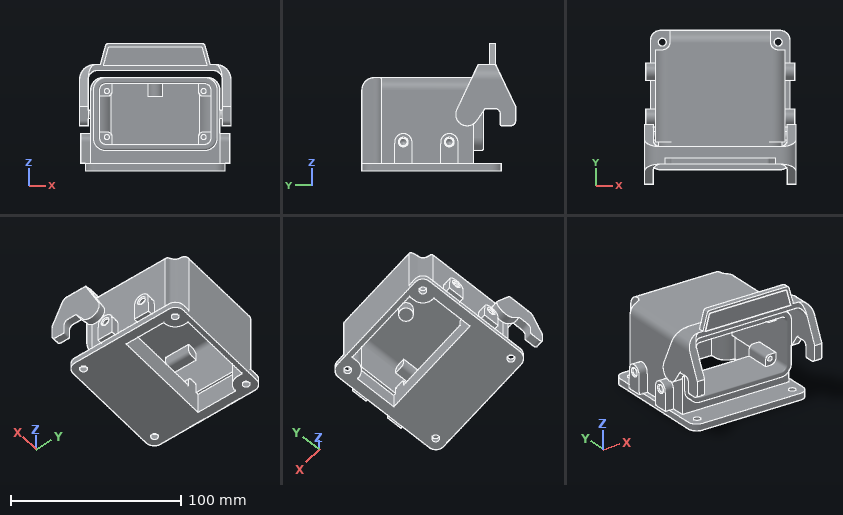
import cadquery as cq
import math


flange_size = 82.0
flange_height = 4.5
flange_corner_radius = 6.0
screw_offset = 34.0
screw_hole_diameter = 4.5

wall = 3.6
body_half_width = 38.0
body_back = flange_size / 2
body_front = -24.6
body_top = 55.0
body_edge_radius = 7.5
notch_radius = 4.5
notch_edge = screw_offset - notch_radius
floor_back = -2.0

rim_front = -30.5
rim_half_width = 36.3
rim_bottom = 12.1
rim_corner_radius = 7.3
rim_rounding = 1.1
lip_width = 2.8
mouth_rounding = 0.85
mouth_inset = lip_width + mouth_rounding
mouth_half_width = rim_half_width - mouth_inset
mouth_bottom = rim_bottom + mouth_inset
mouth_top = body_top - mouth_inset
mouth_corner_radius = rim_corner_radius - mouth_inset

post_half_pitch_x = 28.4
post_low_z = 20.0
post_high_z = 47.0
post_reach = 3.0
post_rounding = 2.7
post_front = -19.0
post_hole_diameter = 3.0
post_hole_depth = 10.0
boss_diameter = 8.6
boss_bottom = 43.9
boss_y = 18.0

lug_half_span = 43.85
lug_radius = 5.0
lug_foot_half_width = 5.25
lug_centre_z = 17.1
lug_positions_y = (16.6, -10.4)
lug_hole_diameter = 4.4
lug_hole_chamfer = 0.65
lug_hole_depth = 3.0
lug_hole_tip = lug_hole_diameter / 4

lever_half_width = 44.5
lever_inner_half_width = 39.3
lever_top = 62.6
lever_bar_bottom = 59.0
lever_outer_radius = 9.0
lever_inner_radius = 5.2
bar_relief_radius = 4.0
bar_back = -27.3
bar_front = -37.6
pivot_y = -20.9
pivot_z = 33.3
pivot_radius = 6.7
pivot_pin_diameter = 5.0
hook_front = -49.41
hook_shoulder_z = 37.9
hook_bottom = 26.6
hook_back = -40.2
notch_top = 36.6
notch_back = -31.4
hook_front_radius = 3.0
hook_back_radius = 1.0
hook_notch_radius = 2.8

grip_top = 75.0
grip_thickness = 3.7
grip_foot_half_width = 32.3
grip_top_half_width = 28.9
grip_corner_radius = 2.0
panel_margin = 2.1
panel_bottom = 61.9
panel_foot_half_width = 30.5
panel_depth = 0.4
panel_corner_radius = 1.0


def block(x0, x1, y0, y1, z0, z1):
    return cq.Workplane("XY").box(x1 - x0, y1 - y0, z1 - z0, centered=False).translate((x0, y0, z0))


def rounded_prism(half_width, z0, z1, radius, y0, y1):
    """Prism along Y with all four long edges rounded."""
    return block(-half_width, half_width, y0, y1, z0, z1).edges("|Y").fillet(radius)


def both_sides(shape):
    return shape.union(shape.mirror("YZ"))


def make_flange():
    half = flange_size / 2
    plate = block(-half, half, -half, half, 0, flange_height)
    return plate.edges("|Z").fillet(flange_corner_radius)


def screw_holes():
    pitch = 2 * screw_offset
    return (
        cq.Workplane("XY")
        .rect(pitch, pitch, forConstruction=True)
        .vertices()
        .circle(screw_hole_diameter / 2)
        .extrude(flange_height)
    )


def back_notches(inset, z0):
    """Vertical corner notches over the back flange screws, grown inward by inset."""
    edge = notch_edge - inset
    notch = block(edge, body_half_width, edge, body_back, z0, body_top)
    return both_sides(notch.edges("|Z and <X and <Y").fillet(notch_radius + inset))


def make_body():
    """Solid body with rounded sides and back along the top."""
    body = block(-body_half_width, body_half_width, body_front, body_back, 0, body_top)
    body = body.edges("|Y and >Z").fillet(body_edge_radius)
    body = body.edges("|X and >Y and >Z").fillet(body_edge_radius)
    return body.cut(back_notches(0, flange_height))


def make_rim():
    rim = rounded_prism(rim_half_width, rim_bottom, body_top, rim_corner_radius, rim_front, body_front + wall)
    return rim.faces("<Y").edges().fillet(rim_rounding)


def mouth_prism(y0, y1):
    return rounded_prism(mouth_half_width, mouth_bottom, mouth_top, mouth_corner_radius, y0, y1)


def make_cavity():
    """Mouth section carried through to the back wall, with a wider opening down behind the front floor."""
    back = body_back - wall
    chamber = mouth_prism(rim_front, back)
    middle_z = (mouth_bottom + mouth_top) / 2
    corners = block(-mouth_half_width, mouth_half_width, floor_back, back, mouth_bottom, middle_z)
    half_width = body_half_width - wall
    opening = block(-half_width, half_width, floor_back, back, 0, mouth_bottom)
    return chamber.union(corners).union(opening).cut(back_notches(wall, 0))


def round_mouth(housing):
    """Round the inner edge of the rim."""
    margin = lip_width / 10
    inner_edges = cq.selectors.BoxSelector(
        (-mouth_half_width - margin, rim_front - margin, mouth_bottom - margin),
        (mouth_half_width + margin, rim_front + margin, mouth_top + margin),
    )
    return housing.edges(inner_edges).fillet(mouth_rounding)


def make_post(z_centre, z_wall):
    """Insert fixing post in the +X corner of the mouth, from its hole centre out to the walls."""
    inner_x = post_half_pitch_x - post_reach
    outer_x = body_half_width - wall
    toward_wall = math.copysign(1, z_wall - z_centre)
    free_z = z_centre - toward_wall * post_reach
    post = block(inner_x, outer_x, post_front, floor_back, min(free_z, z_wall), max(free_z, z_wall))
    free_side = "<Z" if toward_wall > 0 else ">Z"
    post = post.edges("|Y and <X").edges(free_side).fillet(post_rounding)
    hole = (
        cq.Workplane("XZ", origin=(post_half_pitch_x, post_front, z_centre))
        .circle(post_hole_diameter / 2)
        .extrude(-post_hole_depth)
    )
    return post.cut(hole)


def make_boss():
    height = body_top - wall / 2 - boss_bottom
    return cq.Workplane("XY", origin=(0, boss_y, boss_bottom)).circle(boss_diameter / 2).extrude(height)


def make_lug(y):
    root = body_half_width - wall / 2
    return (
        cq.Workplane("YZ", origin=(root, y, 0))
        .moveTo(-lug_foot_half_width, flange_height)
        .lineTo(lug_foot_half_width, flange_height)
        .lineTo(lug_radius, lug_centre_z)
        .threePointArc((0, lug_centre_z + lug_radius), (-lug_radius, lug_centre_z))
        .close()
        .extrude(lug_half_span - root)
    )


def make_lug_hole(y):
    """Countersunk blind hole with a drill-point bottom."""
    radius = lug_hole_diameter / 2
    return (
        cq.Workplane("XY", origin=(0, y, lug_centre_z))
        .moveTo(lug_half_span, 0)
        .lineTo(lug_half_span, radius + lug_hole_chamfer)
        .lineTo(lug_half_span - lug_hole_chamfer, radius)
        .lineTo(lug_half_span - lug_hole_depth, radius)
        .lineTo(lug_half_span - lug_hole_depth - lug_hole_tip, 0)
        .close()
        .revolve(360, (0, 0, 0), (1, 0, 0))
    )


def eye_point(angle):
    """Point on the rim of the lever's pivot eye, as (y, z)."""
    return (pivot_y + pivot_radius * math.cos(angle), pivot_z + pivot_radius * math.sin(angle))


def eye_tangent(y, z, side):
    """Point where a line from (y, z) touches the pivot eye; side (+1 or -1) picks one of the two."""
    dy = y - pivot_y
    dz = z - pivot_z
    return eye_point(math.atan2(dz, dy) + side * math.acos(pivot_radius / math.hypot(dy, dz)))


def make_lever_side_form():
    """Side outline of the lever, with pivot eye and hook, swept over the full width."""
    form = (
        cq.Workplane("YZ", origin=(-lever_half_width, 0, 0))
        .moveTo(bar_back, lever_top)
        .lineTo(bar_front, lever_top)
        .lineTo(hook_front, hook_shoulder_z)
        .lineTo(hook_front, hook_bottom)
        .lineTo(hook_back, hook_bottom)
        .lineTo(hook_back, notch_top)
        .lineTo(notch_back, notch_top)
        .lineTo(*eye_tangent(notch_back, notch_top, 1))
        .threePointArc(eye_point(-math.pi / 3), eye_tangent(bar_back, lever_top, -1))
        .close()
        .extrude(2 * lever_half_width)
    )
    rounded_corners = (
        (hook_front, hook_bottom, hook_front_radius),
        (hook_back, hook_bottom, hook_back_radius),
        (hook_back, notch_top, hook_notch_radius),
    )
    for y, z, radius in rounded_corners:
        form = form.edges(cq.NearestToPointSelector((0, y, z))).fillet(radius)
    return form


def bar_relief(y0, y1, bar_side):
    """Space between the arms in front of or behind the bar, rounded where the bar meets the arms."""
    low = pivot_z - pivot_radius
    relief = block(-lever_inner_half_width, lever_inner_half_width, y0, y1, low, lever_top)
    return relief.edges("|Z").edges(bar_side).fillet(bar_relief_radius)


def make_lever():
    """U-shaped strap: two hooked arms joined by a straight bar over the mouth."""
    back = pivot_y + pivot_radius
    low = pivot_z - pivot_radius
    outside = block(-lever_half_width, lever_half_width, hook_front, back, low, lever_top)
    outside = outside.edges("|Y and >Z").fillet(lever_outer_radius)
    inside = block(-lever_inner_half_width, lever_inner_half_width, hook_front, back, low, lever_bar_bottom)
    inside = inside.edges("|Y and >Z").fillet(lever_inner_radius)
    strap = outside.cut(inside).intersect(make_lever_side_form())
    return strap.cut(bar_relief(hook_front, bar_front, ">Y")).cut(bar_relief(bar_back, back, "<Y"))


def trapezoid(foot_half_width, top_half_width, z0, z1, radius, thickness):
    """Upright plate starting at the bar's front face, narrowing upward, with rounded top corners."""
    plate = (
        cq.Workplane("XZ", origin=(0, bar_front, 0))
        .polyline(
            [
                (-foot_half_width, z0),
                (foot_half_width, z0),
                (top_half_width, z1),
                (-top_half_width, z1),
            ]
        )
        .close()
        .extrude(-thickness)
    )
    return plate.edges("|Y and >Z").fillet(radius)


def make_grip():
    return trapezoid(
        grip_foot_half_width, grip_top_half_width, lever_top, grip_top, grip_corner_radius, grip_thickness
    )


def make_grip_panel():
    """Shallow label recess in the front of the grip, with sides parallel to the grip's."""
    slope = (grip_foot_half_width - grip_top_half_width) / (grip_top - lever_top)
    panel_top = grip_top - panel_margin
    panel_top_half_width = panel_foot_half_width - slope * (panel_top - panel_bottom)
    return trapezoid(
        panel_foot_half_width, panel_top_half_width, panel_bottom, panel_top, panel_corner_radius, panel_depth
    )


def make_pivot_pin():
    root = body_half_width - wall / 2
    tip = (lever_inner_half_width + lever_half_width) / 2
    pin = cq.Workplane("YZ", origin=(root, pivot_y, pivot_z)).circle(pivot_pin_diameter / 2)
    return pin.extrude(tip - root)


housing = make_flange().union(make_body()).union(make_rim())
housing = round_mouth(housing.cut(make_cavity())).cut(screw_holes())
for corner_z, wall_z in ((post_low_z, rim_bottom), (post_high_z, body_top - wall / 2)):
    housing = housing.union(both_sides(make_post(corner_z, wall_z)))
housing = housing.union(make_boss())
for lug_y in lug_positions_y:
    housing = housing.union(both_sides(make_lug(lug_y)))
    housing = housing.cut(both_sides(make_lug_hole(lug_y)))

lever = make_lever().union(make_grip()).cut(make_grip_panel())
lever = lever.union(both_sides(make_pivot_pin()))

result = housing.union(lever)